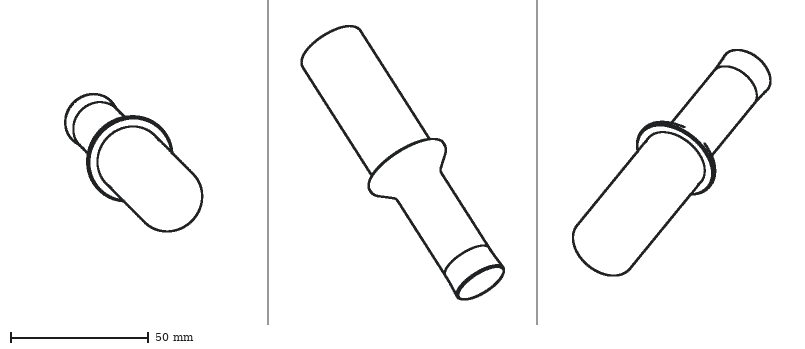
import cadquery as cq
import math

TOTAL_LENGTH = 111.0
FRONT_X = -TOTAL_LENGTH / 2
BACK_X = TOTAL_LENGTH / 2

HEAD_LENGTH = 10.0
HEAD_RADIUS = 10.0
HEAD_CHAMFER = 0.4
TAPER_LENGTH = 5.0

NECK_RADIUS = 19.0 / 2
SHANK_RADIUS = 25.0 / 2
FLANGE_RADIUS = 32.0 / 2
FLANGE_BACK_X = FRONT_X + 55.0
FLANGE_BAND_X = FRONT_X + 53.6
FLANGE_FRONT_ROUND = 1.0
FLANGE_BACK_CHAMFER = 0.4
NECK_ROUND = 4.3
SHANK_END_ROUND = 2.0
CONE_ANGLE = math.radians(45)


def arc_point(center, radius, angle):
    """Point on a circle, with the angle measured from +X."""
    return (center[0] + radius * math.cos(angle), center[1] + radius * math.sin(angle))


def revolve_about_x(profile):
    """Close an XY profile and turn it a full revolution about the X axis."""
    return profile.close().revolve(360, (0, 0, 0), (1, 0, 0))


def make_head():
    """Round head that tapers inward and blends smoothly to the neck size."""
    back_x = FRONT_X + HEAD_LENGTH
    blend_x = FRONT_X + TAPER_LENGTH
    blend_length = back_x - blend_x
    taper_run = TAPER_LENGTH - HEAD_CHAMFER
    taper_slope = (HEAD_RADIUS - NECK_RADIUS) / (taper_run + blend_length / 2)
    blend_radius = blend_length / math.sin(math.atan(taper_slope))
    blend_rise = blend_radius - math.sqrt(blend_radius**2 - blend_length**2)
    profile = (
        cq.Workplane("XY")
        .moveTo(FRONT_X, 0)
        .lineTo(FRONT_X, HEAD_RADIUS - HEAD_CHAMFER)
        .lineTo(FRONT_X + HEAD_CHAMFER, HEAD_RADIUS)
        .lineTo(blend_x, NECK_RADIUS + blend_rise)
        .radiusArc((back_x, NECK_RADIUS), -blend_radius)
        .lineTo(back_x, 0)
    )
    return revolve_about_x(profile)


def make_shank():
    """Neck, conical flange and rounded rear shank in one turned body."""
    front_x = FRONT_X + HEAD_LENGTH
    half_turn = CONE_ANGLE / 2
    up = math.pi / 2

    rim_center = (FLANGE_BAND_X, FLANGE_RADIUS - FLANGE_FRONT_ROUND)
    cone_end = arc_point(rim_center, FLANGE_FRONT_ROUND, up + CONE_ANGLE)
    rim_middle = arc_point(rim_center, FLANGE_FRONT_ROUND, up + half_turn)

    neck_center_y = NECK_RADIUS + NECK_ROUND
    cone_start_y = neck_center_y - NECK_ROUND * math.cos(CONE_ANGLE)
    cone_start_x = cone_end[0] - (cone_end[1] - cone_start_y) / math.tan(CONE_ANGLE)
    neck_end_x = cone_start_x - NECK_ROUND * math.sin(CONE_ANGLE)
    neck_center = (neck_end_x, neck_center_y)
    neck_middle = arc_point(neck_center, NECK_ROUND, half_turn - up)

    end_center = (BACK_X - SHANK_END_ROUND, SHANK_RADIUS - SHANK_END_ROUND)
    end_middle = arc_point(end_center, SHANK_END_ROUND, up / 2)

    profile = (
        cq.Workplane("XY")
        .moveTo(front_x, 0)
        .lineTo(front_x, NECK_RADIUS)
        .lineTo(neck_end_x, NECK_RADIUS)
        .threePointArc(neck_middle, (cone_start_x, cone_start_y))
        .lineTo(*cone_end)
        .threePointArc(rim_middle, (FLANGE_BAND_X, FLANGE_RADIUS))
        .lineTo(FLANGE_BACK_X - FLANGE_BACK_CHAMFER, FLANGE_RADIUS)
        .lineTo(FLANGE_BACK_X, FLANGE_RADIUS - FLANGE_BACK_CHAMFER)
        .lineTo(FLANGE_BACK_X, SHANK_RADIUS)
        .lineTo(end_center[0], SHANK_RADIUS)
        .threePointArc(end_middle, (BACK_X, end_center[1]))
        .lineTo(BACK_X, 0)
    )
    return revolve_about_x(profile)


head = make_head()
shank = make_shank()
result = cq.Compound.makeCompound([head.val(), shank.val()])